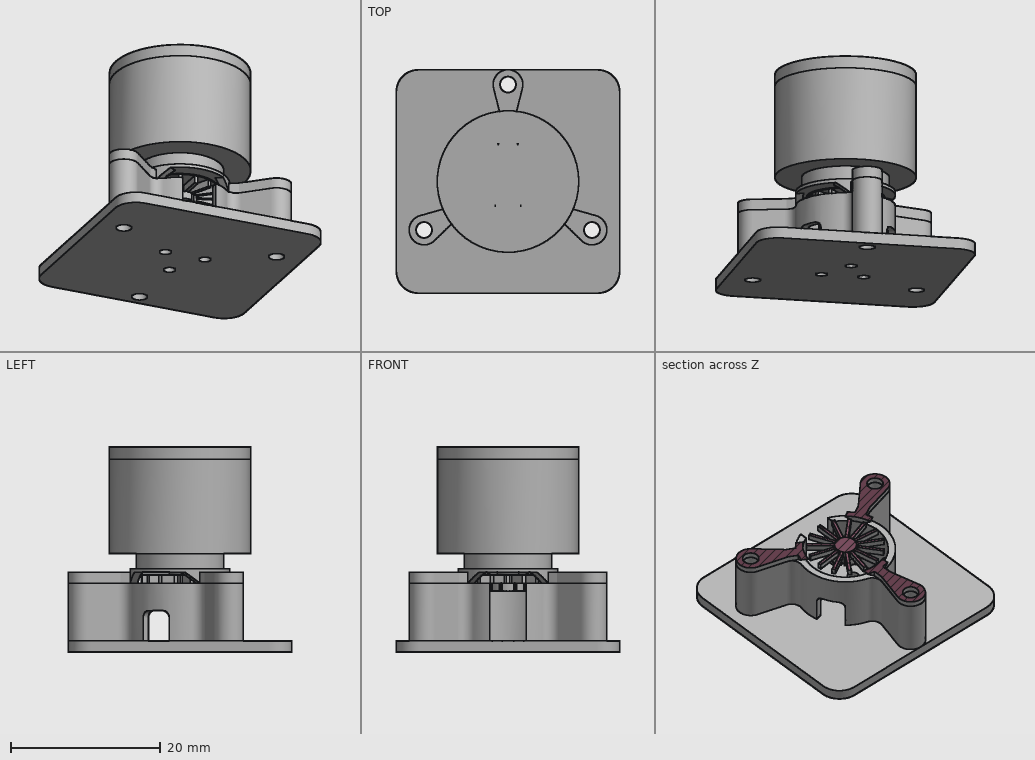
import cadquery as cq
import math

plate_size = 30
plate_thickness = 1.5
plate_corner_radius = 3
plate_hole_diameter = 1.6
plate_hole_circle_radius = 3.35

lug_angles = (90, 210, 330)
lug_diameter = 4.0
lug_radius = lug_diameter / 2
lug_circle_radius = plate_size / 2 - lug_radius
lug_hole_diameter = 2.1
arm_width = 1.6
arm_half_width = arm_width / 2
taper_start_radius = 8.0
arm_root_fillet = 1.5

wall_diameter = 13.4
wall_outer_radius = wall_diameter / 2
wall_inner_radius = 5.73
housing_top = 9.25
gap_width = 4.9
gap_angle = 270
window_angles = (30, 150)
window_half_angle = 17.5
window_top = 5.55
window_corner_radius = 1.0

bracket_lug_top = 10.7
bracket_top = 11.2
beam_top_half_width = 2.8

shaft_diameter = 2.9
tooth_count = 15
tooth_width = 0.48
stator_radius = 5.25
stator_bottom = 8.2
stator_top = 10.45
stator_disc_thickness = 0.15
collar_diameter = 4.5
collar_slot_count = 7
collar_slot_width = 0.45
hub_diameter = 3.45

neck_diameter = 11.8
knob_diameter = 19.0
knob_bottom = 13.2
lid_bottom = 25.85
lid_top = 27.5


def cylinder(radius, bottom, top):
    return cq.Workplane("XY").workplane(offset=bottom).circle(radius).extrude(top - bottom)


def turned(shape, angle):
    """The shape, turned about the Z axis."""
    return shape.rotate((0, 0, 0), (0, 0, 1), angle)


def round_pattern(shape, angles):
    """One shape made of copies of a shape along +X, turned to each angle."""
    copies = turned(shape, angles[0])
    for angle in angles[1:]:
        copies = copies.union(turned(shape, angle))
    return copies


def radial_bar(inner_radius, outer_radius, width, bottom, top):
    """Straight bar along +X, centred on the XZ plane."""
    bar = cq.Workplane("XY").box(
        outer_radius - inner_radius, width, top - bottom, centered=(False, True, False)
    )
    return bar.translate((inner_radius, 0, bottom))


def lug_holes(bottom, top):
    hole = cylinder(lug_hole_diameter / 2, bottom, top).translate((lug_circle_radius, 0, 0))
    return round_pattern(hole, lug_angles)


taper_length = math.hypot(lug_circle_radius - taper_start_radius, arm_half_width)
taper_start_angle = math.atan2(arm_half_width, taper_start_radius - lug_circle_radius)
tangent_angle = taper_start_angle - math.acos(lug_radius / taper_length)
tangent_x = lug_circle_radius + lug_radius * math.cos(tangent_angle)
tangent_y = lug_radius * math.sin(tangent_angle)
taper_slope = (tangent_y - arm_half_width) / (tangent_x - taper_start_radius)


def lug_arm(inner_x, inner_half_width, bottom, top):
    """Lug along +X whose arm narrows to the taper start and then runs straight to inner_x."""
    return (
        cq.Workplane("XY")
        .workplane(offset=bottom)
        .moveTo(inner_x, inner_half_width)
        .lineTo(taper_start_radius, arm_half_width)
        .lineTo(tangent_x, tangent_y)
        .threePointArc((lug_circle_radius + lug_radius, 0), (tangent_x, -tangent_y))
        .lineTo(taper_start_radius, -arm_half_width)
        .lineTo(inner_x, -inner_half_width)
        .close()
        .extrude(top - bottom)
    )


def make_plate():
    plate = (
        cq.Workplane("XY")
        .rect(plate_size, plate_size)
        .extrude(plate_thickness)
        .edges("|Z")
        .fillet(plate_corner_radius)
    )
    screw_hole = cylinder(plate_hole_diameter / 2, 0, plate_thickness)
    screw_hole = screw_hole.translate((plate_hole_circle_radius, 0, 0))
    return plate.cut(round_pattern(screw_hole, lug_angles)).cut(lug_holes(0, plate_thickness))


def housing_window():
    """Cutter along +X with radial sides and rounded top corners."""
    inner_x = stator_radius
    side_slope = math.tan(math.radians(window_half_angle))
    return (
        cq.Workplane("XY")
        .workplane(offset=plate_thickness)
        .polyline([
            (inner_x, -inner_x * side_slope),
            (wall_outer_radius, -wall_outer_radius * side_slope),
            (wall_outer_radius, wall_outer_radius * side_slope),
            (inner_x, inner_x * side_slope),
        ])
        .close()
        .extrude(window_top - plate_thickness)
        .faces(">Z")
        .edges("not |Y")
        .fillet(window_corner_radius)
    )


def make_housing():
    bottom = plate_thickness
    wall = cylinder(wall_outer_radius, bottom, housing_top)
    arm_inner_x = wall_inner_radius
    arm_inner_half_width = arm_half_width - taper_slope * (taper_start_radius - arm_inner_x)
    arm = lug_arm(arm_inner_x, arm_inner_half_width, bottom, housing_top)
    root_edges = cq.selectors.BoxSelector(
        (wall_inner_radius, -arm_half_width, bottom),
        (wall_outer_radius, arm_half_width, housing_top),
    )
    filleted_arm = wall.union(arm).edges("|Z").edges(root_edges).fillet(arm_root_fillet)
    housing = round_pattern(filleted_arm, lug_angles)
    housing = housing.cut(cylinder(wall_inner_radius, bottom, housing_top))
    housing = housing.cut(lug_holes(bottom, housing_top))

    gap = radial_bar(0, wall_outer_radius, gap_width, bottom, housing_top)
    housing = housing.cut(turned(gap, gap_angle))

    return housing.cut(round_pattern(housing_window(), window_angles))


def bracket_beam():
    """Beam from the axis along +X that widens from the arm width at its bottom to its top."""
    return (
        cq.Workplane("YZ")
        .polyline([
            (-arm_half_width, housing_top),
            (arm_half_width, housing_top),
            (beam_top_half_width, bracket_lug_top),
            (-beam_top_half_width, bracket_lug_top),
        ])
        .close()
        .extrude(wall_outer_radius)
    )


def make_bracket():
    cup_wall = cylinder(wall_outer_radius, housing_top, bracket_lug_top)
    cup_wall = cup_wall.intersect(round_pattern(bracket_beam(), lug_angles))
    arm_inner_x = (wall_inner_radius + wall_outer_radius) / 2
    arm = lug_arm(arm_inner_x, arm_half_width, housing_top, bracket_lug_top)
    bracket = cup_wall.union(round_pattern(arm, lug_angles))
    bracket = bracket.cut(cylinder(wall_inner_radius, housing_top, bracket_lug_top))
    bracket = bracket.cut(lug_holes(housing_top, bracket_lug_top))
    bracket = bracket.union(cylinder(wall_outer_radius, bracket_lug_top, bracket_top))
    return bracket.cut(cylinder(shaft_diameter / 2, bracket_lug_top, bracket_top))


def make_stator():
    disc_bottom = stator_top - stator_disc_thickness
    hub_radius = hub_diameter / 2
    collar_radius = collar_diameter / 2

    collar = cylinder(collar_radius, stator_bottom, housing_top)
    slot = radial_bar(hub_radius, collar_radius, collar_slot_width, stator_bottom, housing_top)
    slot_pitch = 360 / collar_slot_count
    slot_angles = [gap_angle + slot_pitch * (number + 0.5) for number in range(collar_slot_count)]
    collar = collar.cut(round_pattern(slot, slot_angles))

    hub = cylinder(hub_radius, housing_top, disc_bottom)
    tooth = radial_bar(0, stator_radius, tooth_width, housing_top, disc_bottom)
    tooth_angles = [gap_angle + 360 / tooth_count * number for number in range(tooth_count)]
    teeth = round_pattern(tooth, tooth_angles)
    disc = cylinder(stator_radius, disc_bottom, stator_top)
    stator = collar.union(hub).union(teeth).union(disc)
    return stator.cut(cylinder(shaft_diameter / 2, stator_bottom, stator_top))


plate = make_plate()
housing = make_housing()
bracket = make_bracket()
stator = make_stator()
shaft = cylinder(shaft_diameter / 2, stator_bottom, bracket_top)
neck = cylinder(neck_diameter / 2, bracket_top, knob_bottom)
knob = cylinder(knob_diameter / 2, knob_bottom, lid_bottom)
lid = cylinder(knob_diameter / 2, lid_bottom, lid_top)

result = cq.Compound.makeCompound([
    plate.val(),
    housing.val(),
    bracket.val(),
    stator.val(),
    shaft.val(),
    neck.val(),
    knob.val(),
    lid.val(),
])